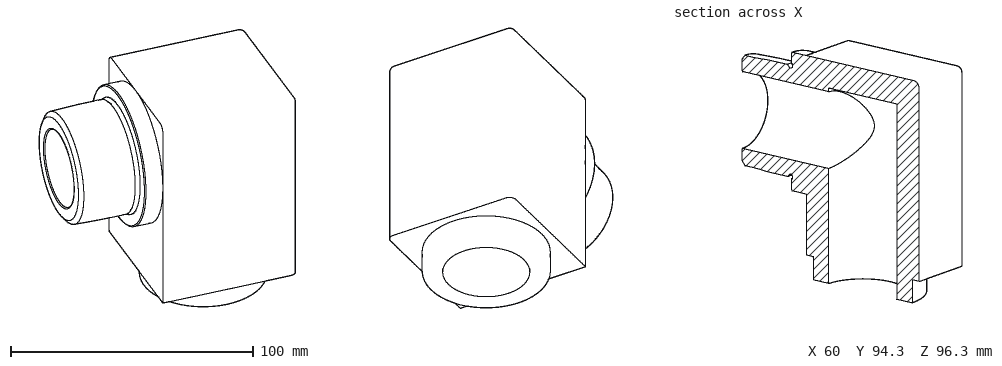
import cadquery as cq
import math

width = 60.0
block_height = 86.25
corner_radius = 3.0
port_height = block_height - width / 2

hub_diameter = 53.0
hub_length = 10.0
hub_fillet = 0.5

collar_length = 8.0
collar_chamfer = 0.5

spout_end = 34.3
thread_start = 10.0
thread_radius = 24.3
taper_start = 20.3
taper_ratio = 1 / 16
end_chamfer_length = 1.6
end_face_radius = 21.9

neck_radius = 23.0
groove_radius = 24.8
groove_depth = 0.5
groove_fillet = 0.8
flank_angle = math.radians(45)

bore_radius = 16.5
riser_radius = 18.0
bore_chamfer = 0.5


def make_block():
    block = cq.Workplane("XY").box(width, width, block_height, centered=(True, True, False))
    rounded = block.edges("(>Y and |Z) or (>Z and (not <Y))")
    return rounded.fillet(corner_radius)


def make_hub():
    hub = cq.Workplane("XY").circle(hub_diameter / 2).extrude(-hub_length)
    return hub.faces("<Z").edges().fillet(hub_fillet)


def make_spout():
    """Collar and spout turned about the port axis; the profile is (radius, distance from block face)."""
    collar_radius = width / 2
    taper_end = spout_end - end_chamfer_length
    taper_end_radius = thread_radius - (taper_end - taper_start) * taper_ratio / 2

    groove_floor = collar_length - groove_depth
    collar_fillet_center = (neck_radius + groove_fillet, groove_floor + groove_fillet)

    flank_foot_radius = neck_radius + groove_fillet * (1 - math.cos(flank_angle))
    flank_foot = thread_start - (thread_radius - flank_foot_radius) / math.tan(flank_angle)
    neck_end = flank_foot - groove_fillet * math.sin(flank_angle)
    flank_fillet_center = (neck_radius + groove_fillet, neck_end)

    def on_fillet(center, angle):
        """Point on a groove fillet, at an angle from the inward radial direction toward the spout end."""
        return (
            center[0] - groove_fillet * math.cos(angle),
            center[1] + groove_fillet * math.sin(angle),
        )

    profile = (
        cq.Workplane("XY")
        .lineTo(collar_radius, 0)
        .lineTo(collar_radius, collar_length - collar_chamfer)
        .lineTo(collar_radius - collar_chamfer, collar_length)
        .lineTo(groove_radius, collar_length)
        .lineTo(groove_radius, groove_floor)
        .lineTo(collar_fillet_center[0], groove_floor)
        .threePointArc(on_fillet(collar_fillet_center, -math.pi / 4), on_fillet(collar_fillet_center, 0))
        .lineTo(neck_radius, neck_end)
        .threePointArc(on_fillet(flank_fillet_center, flank_angle / 2), (flank_foot_radius, flank_foot))
        .lineTo(thread_radius, thread_start)
        .lineTo(thread_radius, taper_start)
        .lineTo(taper_end_radius, taper_end)
        .lineTo(end_face_radius, spout_end)
        .lineTo(0, spout_end)
        .close()
    )
    turned = profile.revolve(360, (0, 0, 0), (0, 1, 0))
    facing_front = turned.rotate((0, 0, 0), (0, 0, 1), 180)
    return facing_front.translate((0, -width / 2, port_height))


def make_passage():
    """Riser from the hub to just above the spout bore, and the spout bore from its axis to the mouth."""
    riser_top = port_height + riser_radius
    riser = (
        cq.Workplane("XY", origin=(0, 0, -hub_length))
        .circle(riser_radius)
        .extrude(hub_length + riser_top)
    )
    spout_bore = (
        cq.Workplane("XZ", origin=(0, 0, port_height))
        .circle(bore_radius)
        .extrude(width / 2 + spout_end)
    )
    return riser.union(spout_bore)


def chamfer_bore_mouth(body):
    mouth_edge = body.faces("<Y").edges(cq.selectors.RadiusNthSelector(0))
    return mouth_edge.chamfer(bore_chamfer)


body = make_block().union(make_hub()).union(make_spout()).cut(make_passage())
result = chamfer_bore_mouth(body)